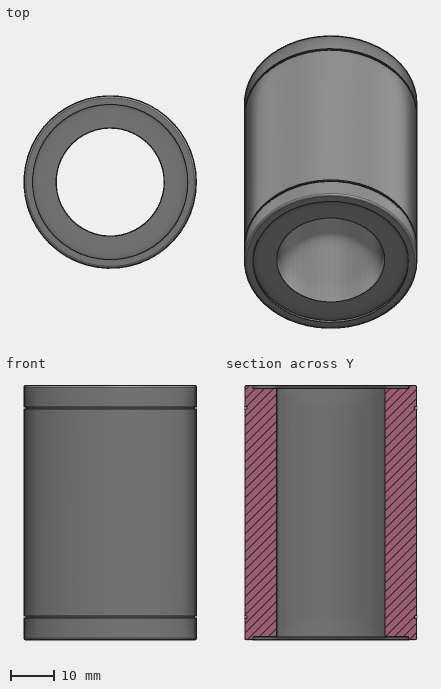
import cadquery as cq

length = 59.0
outer_diameter = 40.0
bore_diameter = 25.0
edge_fillet = 0.5

groove_offset = 5.0
groove_width = 0.5
groove_depth = 0.5

recess_diameter = 36.0
recess_depth = 0.7


def cylinder(diameter, height, base_z):
    """Solid cylinder on the Z axis, rising from base_z."""
    return cq.Workplane("XY").workplane(offset=base_z).circle(diameter / 2).extrude(height)


def ring_groove(base_z):
    """Ring of material removed from the outer wall, rising from base_z."""
    floor_diameter = outer_diameter - 2 * groove_depth
    groove_floor = cylinder(floor_diameter, groove_width, base_z)
    return cylinder(outer_diameter, groove_width, base_z).cut(groove_floor)


bottom_z = -length / 2
sleeve = cylinder(outer_diameter, length, bottom_z)
sleeve = sleeve.faces("<Z or >Z").edges().fillet(edge_fillet)
sleeve = sleeve.cut(cylinder(bore_diameter, length, bottom_z))

groove_bases = (groove_offset, length - groove_offset - groove_width)
recess_bases = (0, length - recess_depth)

for base in groove_bases:
    sleeve = sleeve.cut(ring_groove(bottom_z + base))

for base in recess_bases:
    sleeve = sleeve.cut(cylinder(recess_diameter, recess_depth, bottom_z + base))

result = sleeve